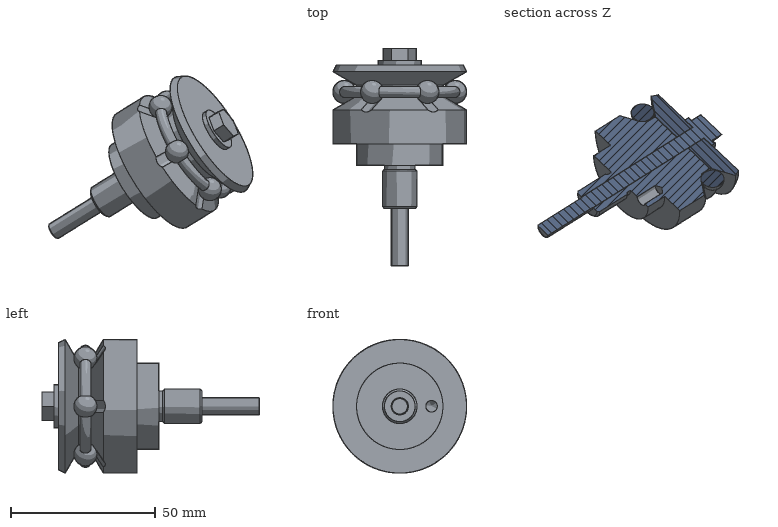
import cadquery as cq
import math


rim_diameter = 46.5
rim_radius = rim_diameter / 2
groove_wall_angle = 30.0
wall_slope = math.tan(math.radians(groove_wall_angle))

bead_count = 6
bead_diameter = 8.0
bead_radius = bead_diameter / 2
cord_diameter = 3.9
ring_radius = rim_radius - bead_radius

flange_thickness = 7.0
flange_inner_y = 2.35
flange_outer_y = flange_inner_y + flange_thickness
flange_edge_y = 7.0
flange_outer_radius = 22.1
flange_inner_radius = rim_radius - (flange_edge_y - flange_inner_y) / wall_slope

base_edge_y = -6.2
rim_back_y = -18.0
hub_diameter = 30.0
hub_back_y = -25.5
core_radius = flange_inner_radius
core_step_y = base_edge_y + (rim_radius - core_radius) * wall_slope

spigot_diameter = 12.0
spigot_radius = spigot_diameter / 2
spigot_length = 15.05
spigot_back_y = hub_back_y - spigot_length
spigot_chamfer = 0.7
relief_length = 1.35
relief_radius = spigot_radius - spigot_chamfer
relief_end_y = hub_back_y - relief_length

dowel_diameter = 4.0
dowel_offset = 11.0
dowel_depth = 8.0
drill_tip_angle = 118.0

shank_diameter = 6.0
head_sides = 6
head_height = 4.15
head_across_flats = 10.0
collar_diameter = 15.0
collar_thickness = 1.6
bolt_length = 75.6
head_top_y = flange_outer_y + collar_thickness + head_height
shank_tip_y = head_top_y - bolt_length
shank_chamfer = 0.3


def revolve_about_y(profile):
    """Turn a closed (radius, y) profile around the Y axis."""
    return cq.Workplane("XY").polyline(profile).close().revolve(360, (0, 0, 0), (0, 1, 0))


def cylinder_along_y(diameter, y_start, y_end):
    return (
        cq.Workplane("XZ", origin=(0, y_start, 0))
        .circle(diameter / 2)
        .extrude(y_start - y_end)
    )


def bolt_bore():
    return cylinder_along_y(shank_diameter, shank_tip_y, head_top_y)


def bead_seat():
    """Ball-ended cutter at the +X bead, running outward parallel to the base wall."""
    center = cq.Vector(ring_radius, 0, 0)
    direction = cq.Vector(1, -wall_slope, 0)
    channel = cq.Solid.makeCylinder(bead_radius, rim_radius, center, direction)
    ball = cq.Workplane("XY").sphere(bead_radius).translate(center)
    return ball.union(cq.Workplane(obj=channel))


def around_axis(body, index):
    """Turn a body at +X to the given bead position."""
    return body.rotate((0, 0, 0), (0, 1, 0), index * 360 / bead_count)


def dowel_hole():
    radius = dowel_diameter / 2
    bottom_y = hub_back_y + dowel_depth
    tip_y = bottom_y + radius / math.tan(math.radians(drill_tip_angle / 2))
    profile = [(0, hub_back_y), (radius, hub_back_y), (radius, bottom_y), (0, tip_y)]
    return revolve_about_y(profile).translate((dowel_offset, 0, 0))


def make_base():
    hub_radius = hub_diameter / 2
    profile = [
        (0, flange_inner_y),
        (core_radius, flange_inner_y),
        (core_radius, core_step_y),
        (rim_radius, base_edge_y),
        (rim_radius, rim_back_y),
        (hub_radius, rim_back_y),
        (hub_radius, hub_back_y),
        (relief_radius, hub_back_y),
        (relief_radius, relief_end_y),
        (spigot_radius, relief_end_y - spigot_chamfer),
        (spigot_radius, spigot_back_y + spigot_chamfer),
        (spigot_radius - spigot_chamfer, spigot_back_y),
        (0, spigot_back_y),
    ]
    body = revolve_about_y(profile).cut(bolt_bore()).cut(dowel_hole())
    for index in range(bead_count):
        body = body.cut(around_axis(bead_seat(), index))
    return body


def make_flange():
    profile = [
        (0, flange_inner_y),
        (flange_inner_radius, flange_inner_y),
        (rim_radius, flange_edge_y),
        (flange_outer_radius, flange_outer_y),
        (0, flange_outer_y),
    ]
    return revolve_about_y(profile).cut(bolt_bore())


def make_beaded_ring():
    ring = (
        cq.Workplane("XY", origin=(ring_radius, 0, 0))
        .circle(cord_diameter / 2)
        .revolve(360, (-ring_radius, 0, 0), (-ring_radius, 1, 0))
    )
    bead = cq.Workplane("XY").sphere(bead_radius).translate((ring_radius, 0, 0))
    for index in range(bead_count):
        ring = ring.union(around_axis(bead, index))
    return ring


def make_bolt():
    collar_top_y = flange_outer_y + collar_thickness
    across_corners = head_across_flats / math.cos(math.pi / head_sides)
    shank = cylinder_along_y(shank_diameter, shank_tip_y, flange_outer_y)
    shank = shank.faces("<Y").chamfer(shank_chamfer)
    collar = cylinder_along_y(collar_diameter, flange_outer_y, collar_top_y)
    head = (
        cq.Workplane("XZ", origin=(0, collar_top_y, 0))
        .polygon(head_sides, across_corners)
        .extrude(-head_height)
    )
    return shank.union(collar).union(head)


base = make_base()
flange = make_flange()
beaded_ring = make_beaded_ring()
bolt = make_bolt()

result = cq.Compound.makeCompound([base.val(), flange.val(), beaded_ring.val(), bolt.val()])